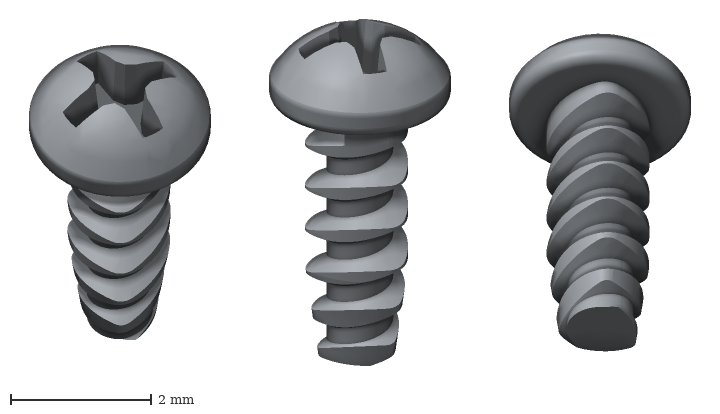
import cadquery as cq
import math

HEAD_RADIUS = 1.3
HEAD_BOTTOM = 3.995
RIM_FILLET = 0.16
BAND_TOP = 4.325
DOME_EDGE_RADIUS = 1.28
DOME_EDGE_Z = 4.4
DOME_APEX = 5.105
DOME_RADIUS = 1.49

RECESS_FLOOR = 4.25
RECESS_MOUTH = 5.11
FLOOR_ARM = 0.125
FLOOR_SHOULDER = 0.375
FLOOR_CORNER = 0.21
MOUTH_ARM = 0.195
MOUTH_SHOULDER = 0.415
MOUTH_CORNER = 0.265
FLOOR_REACH = 0.77
MOUTH_REACH = 0.935

LOBE_OFFSET = 0.48
LOBE_RADIUS = 0.32
TAPER_LENGTH = 1.415
TAPER_ANGLE = 7.6

CORE_RADIUS = 0.475
PITCH = 0.6705
GROOVE_ROOT_WIDTH = 0.255
FLANK_ANGLE = 30.0
GROOVE_TURNS = 7
GROOVE_END_ANGLE = 146.0
GROOVE_END_Z = 3.805
CUT_MARGIN = 0.02


def make_head_blank():
    dome_centre = DOME_APEX - DOME_RADIUS
    mid_radius = DOME_EDGE_RADIUS / 2
    mid_z = dome_centre + math.sqrt(DOME_RADIUS**2 - mid_radius**2)
    fillet_inset = RIM_FILLET * (1 - math.sqrt(0.5))
    profile = (
        cq.Workplane("XZ")
        .moveTo(0, HEAD_BOTTOM)
        .lineTo(HEAD_RADIUS - RIM_FILLET, HEAD_BOTTOM)
        .threePointArc(
            (HEAD_RADIUS - fillet_inset, HEAD_BOTTOM + fillet_inset),
            (HEAD_RADIUS, HEAD_BOTTOM + RIM_FILLET),
        )
        .lineTo(HEAD_RADIUS, BAND_TOP)
        .tangentArcPoint((DOME_EDGE_RADIUS, DOME_EDGE_Z), relative=False)
        .threePointArc((mid_radius, mid_z), (0, DOME_APEX))
        .close()
    )
    return profile.revolve(360, (0, 0, 0), (0, 1, 0))


def cross_points(arm, shoulder, corner, reach):
    """Outline of a cross with bevelled inner corners, one quarter at a time."""
    quarter = [(reach, -arm), (reach, arm), (shoulder, arm), (corner, corner), (arm, shoulder)]
    points = []
    for _ in range(4):
        points += quarter
        quarter = [(-y, x) for x, y in quarter]
    return points


def make_recess():
    depth = RECESS_MOUTH - RECESS_FLOOR
    arm_length = MOUTH_REACH + 0.05
    cross = (
        cq.Workplane("XY", origin=(0, 0, RECESS_FLOOR))
        .polyline(cross_points(FLOOR_ARM, FLOOR_SHOULDER, FLOOR_CORNER, arm_length))
        .close()
        .workplane(offset=depth)
        .polyline(cross_points(MOUTH_ARM, MOUTH_SHOULDER, MOUTH_CORNER, arm_length))
        .close()
        .loft(ruled=True)
    )
    end_cone = cq.Solid.makeCone(FLOOR_REACH, MOUTH_REACH, depth, cq.Vector(0, 0, RECESS_FLOOR))
    return cross.intersect(cq.Workplane(end_cone))


def polar(radius, degrees, centre=(0, 0)):
    angle = math.radians(degrees)
    return (centre[0] + radius * math.cos(angle), centre[1] + radius * math.sin(angle))


def lobed_outline():
    """Three-lobed outline at the start of the taper, with one lobe pointing along +Y."""
    side_radius = math.sqrt(3) * LOBE_OFFSET + LOBE_RADIUS
    outline = cq.Workplane("XY", origin=(0, 0, TAPER_LENGTH))
    outline = outline.moveTo(*polar(LOBE_RADIUS, 60, polar(LOBE_OFFSET, 90)))
    for lobe_angle in (90, 210, 330):
        lobe = polar(LOBE_OFFSET, lobe_angle)
        facing_lobe = polar(LOBE_OFFSET, lobe_angle - 120)
        side_angle = lobe_angle + 60
        outline = outline.threePointArc(
            polar(LOBE_RADIUS, lobe_angle, lobe),
            polar(LOBE_RADIUS, lobe_angle + 30, lobe),
        ).threePointArc(
            polar(side_radius, side_angle, facing_lobe),
            polar(side_radius, side_angle + 30, facing_lobe),
        )
    return outline.close()


def make_shank_blank():
    straight = lobed_outline().extrude(HEAD_BOTTOM - TAPER_LENGTH)
    tip = lobed_outline().extrude(-TAPER_LENGTH, taper=TAPER_ANGLE)
    return straight.union(tip)


def make_groove():
    start_z = GROOVE_END_Z - GROOVE_TURNS * PITCH
    inner = CORE_RADIUS - CUT_MARGIN
    outer = LOBE_OFFSET + LOBE_RADIUS + CUT_MARGIN
    flank_slope = math.tan(math.radians(FLANK_ANGLE))
    inner_half = GROOVE_ROOT_WIDTH / 2 - CUT_MARGIN * flank_slope
    outer_half = GROOVE_ROOT_WIDTH / 2 + (outer - CORE_RADIUS) * flank_slope
    helix = cq.Wire.makeHelix(PITCH, GROOVE_TURNS * PITCH, CORE_RADIUS)
    groove = (
        cq.Workplane("XZ")
        .polyline([(inner, -inner_half), (outer, -outer_half), (outer, outer_half), (inner, inner_half)])
        .close()
        .sweep(cq.Workplane(helix), isFrenet=True)
    )
    return groove.rotate((0, 0, 0), (0, 0, 1), GROOVE_END_ANGLE).translate((0, 0, start_z))


def make_head():
    return make_head_blank().cut(make_recess())


def make_shank():
    core = cq.Workplane("XY").circle(CORE_RADIUS).extrude(HEAD_BOTTOM)
    return make_shank_blank().cut(make_groove()).union(core)


head = make_head()
shank = make_shank()
result = cq.Compound.makeCompound([head.val(), *shank.solids().vals()])